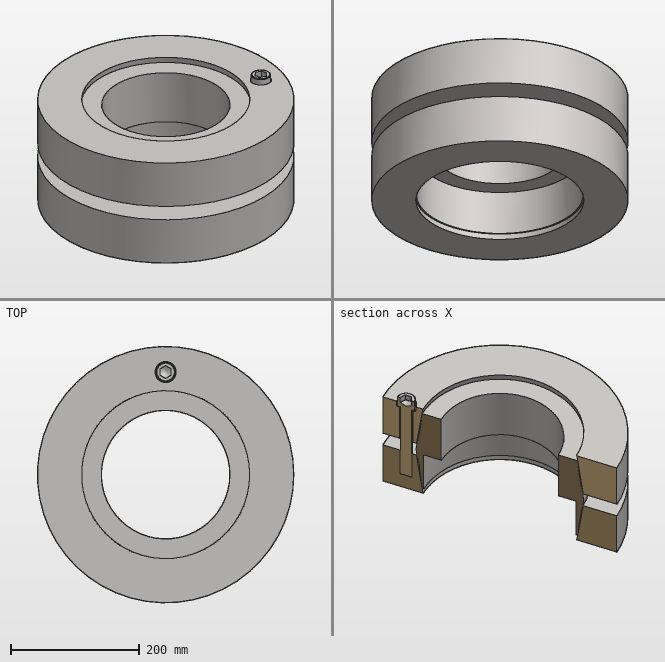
import cadquery as cq
import math

disc_diameter = 400.0
disc_gap = 24.0
disc_thickness = 78.0
disc_inner = disc_gap / 2
disc_outer = disc_inner + disc_thickness
disc_mouth_diameter = 262.0

ring_half_height = 80.0
ring_crest_diameter = 287.5
ring_bore_diameter = 200.0
ring_relief_diameter = 260.0
ring_relief_start = -8.0

screw_y = 160.0
shank_diameter = 20.0
clearance_diameter = 22.0
head_diameter = 30.0
head_height = 20.0
head_chamfer = 1.0
counterbore_diameter = 33.0
counterbore_depth = 10.0
thread_depth = 50.0
socket_flats = 17.0
socket_depth = 10.0
socket_cone_depth = 5.0

head_seat = disc_outer - counterbore_depth
head_top = head_seat + head_height
screw_end = -disc_inner - thread_depth

crest_radius = ring_crest_diameter / 2
mouth_radius = disc_mouth_diameter / 2
taper = (crest_radius - mouth_radius) / disc_outer


def taper_radius(z):
    """Radius of the shared conical seat at height z."""
    return crest_radius - taper * abs(z)


def cylinder(diameter, z_bottom, z_top, y=0.0):
    """Vertical cylinder between two heights."""
    return (
        cq.Workplane("XY", origin=(0, y, z_bottom))
        .circle(diameter / 2)
        .extrude(z_top - z_bottom)
    )


def revolve_profile(points):
    """Turn an outline of (radius, z) points about the Z axis."""
    return cq.Workplane("XZ").polyline(points).close().revolve(360, (0, 0, 0), (0, 1, 0))


def make_disc(side):
    """Conical-bore disc above (side = 1) or below (side = -1) the mid plane."""
    disc_radius = disc_diameter / 2
    return revolve_profile([
        (taper_radius(disc_inner), side * disc_inner),
        (disc_radius, side * disc_inner),
        (disc_radius, side * disc_outer),
        (mouth_radius, side * disc_outer),
    ])


def make_upper_disc():
    """Disc with a clearance hole and counterbore for the screw."""
    clearance = cylinder(clearance_diameter, disc_inner, head_seat, screw_y)
    counterbore = cylinder(counterbore_diameter, head_seat, disc_outer, screw_y)
    return make_disc(1).cut(clearance).cut(counterbore)


def make_lower_disc():
    """Disc with a blind hole that takes the screw shank."""
    return make_disc(-1).cut(cylinder(shank_diameter, screw_end, -disc_inner, screw_y))


def make_inner_ring():
    """Ring tapered both ways from its crest, with a relieved lower bore."""
    bore_radius = ring_bore_diameter / 2
    relief_radius = ring_relief_diameter / 2
    end_radius = taper_radius(ring_half_height)
    return revolve_profile([
        (bore_radius, ring_half_height),
        (end_radius, ring_half_height),
        (crest_radius, 0),
        (end_radius, -ring_half_height),
        (relief_radius, -ring_half_height),
        (relief_radius, ring_relief_start),
        (bore_radius, ring_relief_start),
    ])


def make_screw():
    """Screw with a chamfered head and a cone-bottomed hexagon socket."""
    shank = cylinder(shank_diameter, screw_end, head_seat, screw_y)
    head = cylinder(head_diameter, head_seat, head_top, screw_y).faces(">Z").edges().chamfer(head_chamfer)
    socket_corners = socket_flats / math.cos(math.pi / 6)
    corner_radius = socket_corners / 2
    socket_floor = head_top - socket_depth
    cone_tip = socket_floor - socket_cone_depth
    hexagon = (
        cq.Workplane("XY", origin=(0, screw_y, cone_tip))
        .transformed(rotate=(0, 0, 90))
        .polygon(6, socket_corners)
        .extrude(head_top - cone_tip)
    )
    drill_point = revolve_profile([
        (0, cone_tip),
        (corner_radius, socket_floor),
        (corner_radius, head_top),
        (0, head_top),
    ]).translate((0, screw_y, 0))
    socket = hexagon.intersect(drill_point)
    return shank.union(head).cut(socket)


upper_disc = make_upper_disc()
lower_disc = make_lower_disc()
inner_ring = make_inner_ring()
screw = make_screw()

result = cq.Compound.makeCompound([
    upper_disc.val(),
    lower_disc.val(),
    inner_ring.val(),
    screw.val(),
])